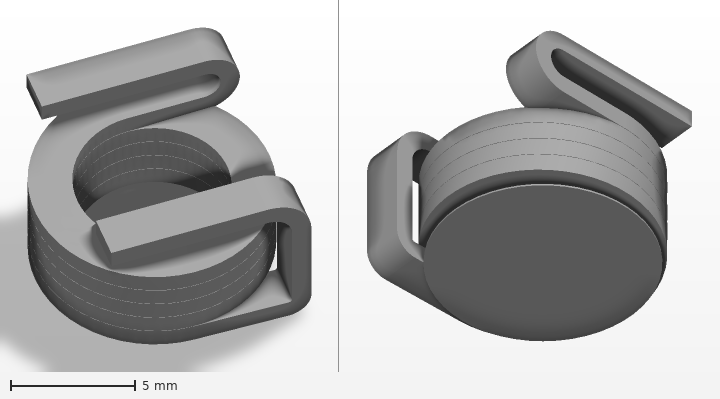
import cadquery as cq
import math


WIRE_WIDTH = 1.8
WIRE_THICKNESS = 0.82

OUTER_RADIUS = 5.0
INNER_RADIUS = OUTER_RADIUS - WIRE_WIDTH
MEAN_RADIUS = (OUTER_RADIUS + INNER_RADIUS) / 2
TURN_GAP = 0.02
PITCH = WIRE_THICKNESS + TURN_GAP
TURNS = 4.5
COIL_BOTTOM = 0.14
COIL_RISE = PITCH * TURNS

DISC_DIAMETER = 9.6
DISC_THICKNESS = 0.08

PAD_TOP = 6.94
PAD_BOTTOM = PAD_TOP - WIRE_THICKNESS
PAD_END_Y = -3.55

UPPER_LEAD_BOTTOM = COIL_BOTTOM + COIL_RISE
UPPER_LEAD_TOP = UPPER_LEAD_BOTTOM + WIRE_THICKNESS
HAIRPIN_CENTER_Y = 3.4

LEAD_SLOPE = PITCH / (2 * math.pi * MEAN_RADIUS)
RISER_OUTER_Y = OUTER_RADIUS
RISER_INNER_Y = RISER_OUTER_Y - WIRE_THICKNESS
TOP_BEND_INNER_RADIUS = 1.06
FOOT_BEND_INNER_RADIUS = 0.12


def make_coil():
    """Rectangular wire section swept along a helix, rising clockwise from +X to -X."""
    helix = cq.Wire.makeHelix(PITCH, COIL_RISE, MEAN_RADIUS, lefthand=True)
    section = cq.Workplane("XZ").center(MEAN_RADIUS, WIRE_THICKNESS / 2).rect(WIRE_WIDTH, WIRE_THICKNESS)
    coil = section.sweep(cq.Workplane(obj=helix), isFrenet=True)
    return coil.translate((0, 0, COIL_BOTTOM))


def make_disc():
    return cq.Workplane("XY").circle(DISC_DIAMETER / 2).extrude(DISC_THICKNESS)


def make_upper_lead():
    """Level run, half-round hairpin and pad, drawn in the YZ plane."""
    center_z = (PAD_TOP + UPPER_LEAD_BOTTOM) / 2
    outer_radius = (PAD_TOP - UPPER_LEAD_BOTTOM) / 2
    inner_radius = outer_radius - WIRE_THICKNESS
    return (
        cq.Workplane("YZ", origin=(-OUTER_RADIUS, 0, 0))
        .moveTo(0, UPPER_LEAD_BOTTOM)
        .lineTo(HAIRPIN_CENTER_Y, UPPER_LEAD_BOTTOM)
        .threePointArc((HAIRPIN_CENTER_Y + outer_radius, center_z), (HAIRPIN_CENTER_Y, PAD_TOP))
        .lineTo(PAD_END_Y, PAD_TOP)
        .lineTo(PAD_END_Y, PAD_BOTTOM)
        .lineTo(HAIRPIN_CENTER_Y, PAD_BOTTOM)
        .threePointArc((HAIRPIN_CENTER_Y + inner_radius, center_z), (HAIRPIN_CENTER_Y, UPPER_LEAD_TOP))
        .lineTo(0, UPPER_LEAD_TOP)
        .close()
        .extrude(WIRE_WIDTH)
    )


def make_lower_lead():
    """Sloping foot, upright riser and pad, with both bends rounded."""
    foot_top = COIL_BOTTOM + WIRE_THICKNESS
    foot_outer_corner = (RISER_OUTER_Y, COIL_BOTTOM - LEAD_SLOPE * RISER_OUTER_Y)
    foot_inner_corner = (RISER_INNER_Y, foot_top - LEAD_SLOPE * RISER_INNER_Y)
    top_outer_corner = (RISER_OUTER_Y, PAD_TOP)
    top_inner_corner = (RISER_INNER_Y, PAD_BOTTOM)
    outline = [
        (0, COIL_BOTTOM),
        foot_outer_corner,
        top_outer_corner,
        (PAD_END_Y, PAD_TOP),
        (PAD_END_Y, PAD_BOTTOM),
        top_inner_corner,
        foot_inner_corner,
        (0, foot_top),
    ]
    lead = cq.Workplane("YZ", origin=(INNER_RADIUS, 0, 0)).polyline(outline).close().extrude(WIRE_WIDTH)
    bends = [
        (foot_outer_corner, FOOT_BEND_INNER_RADIUS + WIRE_THICKNESS),
        (foot_inner_corner, FOOT_BEND_INNER_RADIUS),
        (top_outer_corner, TOP_BEND_INNER_RADIUS + WIRE_THICKNESS),
        (top_inner_corner, TOP_BEND_INNER_RADIUS),
    ]
    for (corner_y, corner_z), radius in bends:
        corner_edge = cq.NearestToPointSelector((MEAN_RADIUS, corner_y, corner_z))
        lead = lead.edges(corner_edge).fillet(radius)
    return lead


result = make_coil().union(make_upper_lead()).union(make_lower_lead()).union(make_disc())